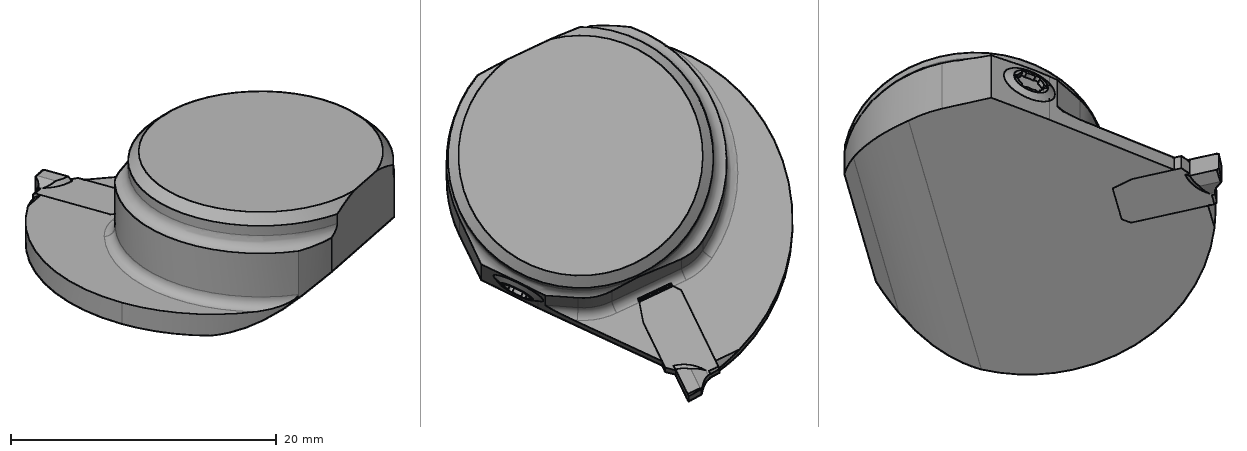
import cadquery as cq
import math


plate_top = 1.86
ledge_z = 6.43
cap_top = 9.0
cap_chamfer_height = 0.75
root_fillet = 0.82

cap_radius = 10.0
cap_chamfer_width = 0.8
wall_radius = 11.0
ledge_fillet = wall_radius - cap_radius
wall_flat_x = -10.0
lower_corner_radius = 4.0
upper_corner_radius = 5.0
upper_corner_y = 2.21
flank_angle = math.radians(30)

plate_center_x = -4.0
plate_low_y = -14.24
plate_left_radius = 14.24
plate_right_radius = 13.9
plate_left_middle_angle = math.radians(-135)
plate_right_middle_angle = math.radians(-57)
right_flat_x = 9.03
rear_flat_y = 10.15
rear_arc_middle = (5.04, 8.75)
rear_arc_end_y = 4.43
slope_start_x = -15.65
slope_bend = (-7.6, 7.24)
slope_end_x = -3.84
oversize = 20.0

relief_start = (2.7, 0.0)
relief_middle = (5.7, 0.92)
relief_bend = (7.86, 2.49)
relief_end = (right_flat_x, 3.65)

nose_bevel_x = -17.36
nose_bevel_slope = 0.65
bevel_reach = 1.25

screw_diameter = 4.2
screw_face_diameter = 2.8
screw_height = 0.3
screw_y = 8.23
screw_z = 4.16
socket_core_radius = 1.1
socket_lobe_radius = 0.2
socket_lobes = 6
socket_depth = 0.4

insert_rear_y = 0.70
insert_front_y = -2.95
insert_end_x = -10.76
insert_end_rear_y = 0.27
insert_end_front_y = -2.49
insert_rear_bevel_x = -12.38
insert_front_bevel_x = -11.37
insert_nose_x = -18.04
insert_nose_bevel_x = -17.85
insert_nose_bevel_slope = 0.85
insert_nose_rear_y = -2.15
pocket_end_gap = 0.21
pocket_gap_floor_z = 1.4
neck_rear = (-16.2, insert_rear_y)
neck_front_start = (-18.55, -1.35)
neck_front_middle = (-18.22, -1.75)
neck_front_end = (-18.08, -2.3)

land_height = 0.3
tip_x = -18.97
tip_rear_y = 0.08
tip_flank = (-18.9, -1.03)
neck_rear_tip = (-16.72, tip_rear_y)
land_slope_start_y = -0.96
land_slope_end_y = -1.95
tip_bevel_x = -18.8
tip_bevel_slope = 0.9
shoulder_rear = (-16.3, 0.3)
shoulder_middle = (-16.62, -0.75)
shoulder_front = (-17.75, -1.98)
shoulder_taper = 50


def polar(radius, angle):
    return (radius * math.cos(angle), radius * math.sin(angle))


def footprint():
    """Prism with the XY outline of the holder, used to trim the rough stock."""
    right_center_y = plate_low_y + plate_right_radius
    right_dx = right_flat_x - plate_center_x
    right_arc_start_y = right_center_y - math.sqrt(plate_right_radius**2 - right_dx**2)
    right_middle = polar(plate_right_radius, plate_right_middle_angle)
    left_center_y = plate_low_y + plate_left_radius
    left_middle = polar(plate_left_radius, plate_left_middle_angle)
    left_end_x = plate_center_x - math.sqrt(plate_left_radius**2 - (insert_rear_y - left_center_y)**2)
    return (
        cq.Workplane("XY")
        .moveTo(slope_start_x, insert_rear_y)
        .lineTo(*slope_bend)
        .lineTo(slope_end_x, rear_flat_y)
        .lineTo(0, rear_flat_y)
        .threePointArc(rear_arc_middle, (right_flat_x, rear_arc_end_y))
        .lineTo(right_flat_x, right_arc_start_y)
        .threePointArc(
            (plate_center_x + right_middle[0], right_center_y + right_middle[1]),
            (plate_center_x, plate_low_y),
        )
        .threePointArc(
            (plate_center_x + left_middle[0], left_center_y + left_middle[1]),
            (left_end_x, insert_rear_y),
        )
        .close()
        .extrude(cap_top)
    )


def wall_block():
    """Drum below the cap: round in front, flat on the left, open-ended where the footprint trims it."""
    corner_x = wall_flat_x + lower_corner_radius
    corner_offset = wall_radius - lower_corner_radius
    corner_y = -math.sqrt(corner_offset**2 - corner_x**2)
    blend = wall_radius / corner_offset
    flank_x = wall_flat_x + upper_corner_radius * (1 - math.cos(flank_angle))
    flank_y = upper_corner_y + upper_corner_radius * math.sin(flank_angle)
    flank_rise = oversize - flank_y
    return (
        cq.Workplane("XY")
        .moveTo(wall_radius, 0)
        .threePointArc((0, -wall_radius), (corner_x * blend, corner_y * blend))
        .tangentArcPoint((wall_flat_x, corner_y), relative=False)
        .lineTo(wall_flat_x, upper_corner_y)
        .tangentArcPoint((flank_x, flank_y), relative=False)
        .lineTo(flank_x + flank_rise * math.tan(flank_angle), oversize)
        .lineTo(wall_radius, oversize)
        .close()
        .extrude(cap_top)
    )


def cap_envelope():
    """Turned shape of the cap: chamfered rim and a concave fillet down to the ledge."""
    fillet_mid = ledge_fillet * (1 - math.sqrt(0.5))
    return (
        cq.Workplane("XZ")
        .lineTo(2 * oversize, 0)
        .lineTo(2 * oversize, ledge_z)
        .lineTo(wall_radius, ledge_z)
        .threePointArc(
            (cap_radius + fillet_mid, ledge_z + fillet_mid),
            (cap_radius, ledge_z + ledge_fillet),
        )
        .lineTo(cap_radius, cap_top - cap_chamfer_height)
        .lineTo(cap_radius - cap_chamfer_width, cap_top)
        .lineTo(0, cap_top)
        .close()
        .revolve(360, (0, 0, 0), (0, 1, 0))
    )


def underside_relief():
    return (
        cq.Workplane("XZ")
        .moveTo(*relief_start)
        .threePointArc(relief_middle, relief_bend)
        .lineTo(*relief_end)
        .lineTo(right_flat_x, 0)
        .close()
        .extrude(oversize, both=True)
    )


def edge_bevels(start_x, slope, rear_y, top_z, bottom_z):
    """Cutters that bevel the top and bottom edge, deepening toward -X from start_x, in front of rear_y."""
    bevels = cq.Workplane("XY")
    for edge_z, inward in ((top_z, -1), (bottom_z, 1)):
        bevel = (
            cq.Workplane("XZ", origin=(0, rear_y, 0))
            .moveTo(start_x, edge_z)
            .lineTo(start_x - bevel_reach, edge_z + inward * slope * bevel_reach)
            .lineTo(start_x - bevel_reach, edge_z)
            .close()
            .extrude(oversize)
        )
        bevels = bevels.union(bevel)
    return bevels


def slab(min_x, max_x, min_y, max_y, min_z, max_z):
    size = (max_x - min_x, max_y - min_y, max_z - min_z)
    return cq.Workplane("XY").box(*size, centered=False).translate((min_x, min_y, min_z))


def pocket():
    """Through slot that holds the insert, open toward -X, with a shallow gap behind the insert."""
    nose_clearance = slab(-oversize, insert_rear_bevel_x, insert_front_y, insert_rear_y, 0, plate_top)
    end_gap = slab(
        insert_end_x,
        insert_end_x + pocket_end_gap,
        insert_end_front_y,
        insert_end_rear_y,
        pocket_gap_floor_z,
        plate_top + root_fillet,
    )
    return insert_plate().union(nose_clearance).union(end_gap)


def screw_plane():
    """Plane on the sloped side, centred on the screw, facing outward."""
    slope = (rear_flat_y - slope_bend[1]) / (slope_end_x - slope_bend[0])
    screw_x = slope_end_x - (rear_flat_y - screw_y) / slope
    return cq.Plane(origin=(screw_x, screw_y, screw_z), xDir=(1, slope, 0), normal=(-slope, 1, 0))


def screw_head():
    taper = math.degrees(math.atan((screw_diameter - screw_face_diameter) / 2 / screw_height))
    return cq.Workplane(screw_plane()).circle(screw_diameter / 2).extrude(screw_height, taper=taper)


def screw_socket():
    face = cq.Workplane(screw_plane()).workplane(offset=screw_height)
    socket = face.circle(socket_core_radius).extrude(-socket_depth)
    lobes = face.polarArray(socket_core_radius, 0, 360, socket_lobes).circle(socket_lobe_radius)
    return socket.union(lobes.extrude(-socket_depth))


def make_holder():
    stock = cq.Workplane("XY").box(2 * oversize, 2 * oversize, plate_top, centered=(True, True, False))
    stock = stock.union(wall_block())
    inside = oversize - root_fillet
    root = cq.selectors.BoxSelector(
        (-inside, -inside, plate_top - root_fillet),
        (inside, inside, plate_top + root_fillet),
    )
    stock = stock.edges(root).fillet(root_fillet)
    holder = stock.intersect(cap_envelope()).intersect(footprint())
    holder = holder.cut(underside_relief())
    holder = holder.cut(edge_bevels(nose_bevel_x, nose_bevel_slope, 0, plate_top, 0))
    holder = holder.cut(pocket())
    return holder.union(screw_head()).cut(screw_socket())


def insert_outline():
    return (
        cq.Workplane("XY")
        .moveTo(insert_end_x, insert_end_rear_y)
        .lineTo(insert_rear_bevel_x, insert_rear_y)
        .lineTo(*neck_rear)
        .lineTo(*neck_rear_tip)
        .lineTo(tip_x, tip_rear_y)
        .lineTo(*tip_flank)
        .lineTo(*neck_front_start)
        .threePointArc(neck_front_middle, neck_front_end)
        .lineTo(insert_nose_x, insert_front_y)
        .lineTo(insert_front_bevel_x, insert_front_y)
        .lineTo(insert_end_x, insert_end_front_y)
        .close()
    )


def insert_plate():
    return insert_outline().extrude(plate_top)


def upper_land():
    """Raised land on the tip: tapered shoulder on the right, sloping down to the plate at the front."""
    land_top = plate_top + land_height
    shoulder = (
        cq.Workplane("XY", origin=(0, 0, plate_top))
        .moveTo(-oversize, -oversize)
        .lineTo(shoulder_front[0], -oversize)
        .lineTo(*shoulder_front)
        .threePointArc(shoulder_middle, shoulder_rear)
        .lineTo(shoulder_rear[0], oversize)
        .lineTo(-oversize, oversize)
        .close()
        .extrude(land_height, taper=shoulder_taper)
    )
    front_slope = (
        cq.Workplane("YZ")
        .moveTo(tip_rear_y, plate_top)
        .lineTo(tip_rear_y, land_top)
        .lineTo(land_slope_start_y, land_top)
        .lineTo(land_slope_end_y, plate_top)
        .close()
        .extrude(-oversize)
    )
    return insert_outline().extrude(land_top).intersect(shoulder).intersect(front_slope)


def make_insert():
    land = upper_land()
    lower_land = land.mirror("XY", (0, 0, plate_top / 2))
    body = insert_plate().union(land).union(lower_land)
    body = body.cut(
        edge_bevels(tip_bevel_x, tip_bevel_slope, tip_rear_y, plate_top + land_height, -land_height)
    )
    return body.cut(
        edge_bevels(insert_nose_bevel_x, insert_nose_bevel_slope, insert_nose_rear_y, plate_top, 0)
    )


holder = make_holder()
insert = make_insert()
result = cq.Compound.makeCompound([holder.val(), insert.val()])